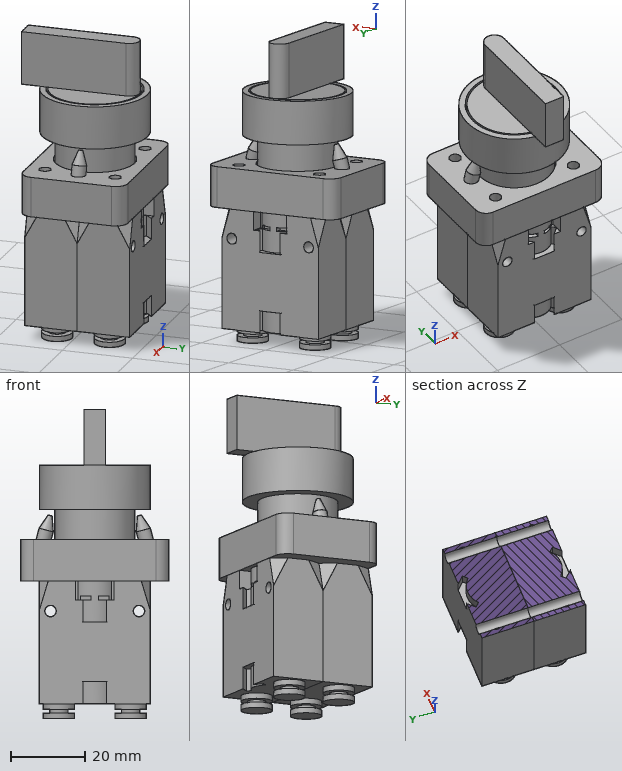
import cadquery as cq


RING_DIAMETER = 30.0
RING_HEIGHT = 12.0
NECK_DIAMETER = 21.7
NECK_EXPOSED_HEIGHT = 8.0
KNOB_BORE_DIAMETER = 26.5
KNOB_DISC_DIAMETER = 25.5
KNOB_DISC_DEPTH = 3.0
HANDLE_WIDTH = 5.85
HANDLE_HEIGHT = 15.0
DEPTH_OVER_HANDLE = 35.0

PLATE_LENGTH = 40.0
PLATE_WIDTH = RING_DIAMETER
PLATE_HEIGHT = 11.3
PLATE_CORNER_RADIUS = 3.5
PLATE_BORE_DIAMETER = 22.5
SCREW_HOLE_DIAMETER = 3.25
SCREW_HOLE_X = 12.5
SCREW_HOLE_Y = 10.0
PIN_DIAMETER = 4.0
PIN_TIP_DIAMETER = 1.2
PIN_SHOULDER_LENGTH = 2.6
PIN_LENGTH = 6.7
PIN_FOOT_X = 13.8
PIN_TILT = 15.0
PIN_ROOT = 0.8

BLOCK_LENGTH = RING_DIAMETER
BLOCK_DEPTH = PLATE_WIDTH / 2
BLOCK_HEIGHT = 33.15
CORNER_CUT_X = 2.4
CORNER_CUT_Y = 4.35
CORNER_CUT_Z = 8.0
CROSS_HOLE_DIAMETER = 3.0
CROSS_HOLE_X = 11.9
CROSS_HOLE_Z = -8.1
PILOT_HOLE_DIAMETER = 2.4

POCKET_WIDTH = 10.3
POCKET_HEIGHT = 5.1
POCKET_DEPTH = 3.6
COLUMN_RADIUS = 6.0
SLOT_WIDTH = 6.3
UPPER_SLOT_BOTTOM = -11.0
LOWER_SLOT_HEIGHT = 6.0
NOTCH_INNER_X = 1.0
NOTCH_OUTER_X = 3.8
NOTCH_HEIGHT = 1.0

FITTING_DIAMETER = 8.5
FITTING_NECK_DIAMETER = 5.0
FITTING_X = 9.7
FITTING_LENGTH = 4.0
FITTING_FLANGE_THICKNESS = 1.5

PLATE_TOP = PLATE_HEIGHT
RING_BOTTOM = PLATE_TOP + NECK_EXPOSED_HEIGHT
RING_TOP = RING_BOTTOM + RING_HEIGHT
DISC_BOTTOM = RING_TOP - KNOB_DISC_DEPTH
BLOCK_BOTTOM = -BLOCK_HEIGHT

OUTER_FACE_Y = -BLOCK_DEPTH
MIDDLE_Y = -BLOCK_DEPTH / 2
POCKET_BACK_Y = OUTER_FACE_Y + POCKET_DEPTH


def cylinder(diameter, bottom, top, x=0.0, y=0.0):
    """Vertical cylinder between two levels."""
    return cq.Workplane("XY", origin=(x, y, bottom)).circle(diameter / 2).extrude(top - bottom)


def box(x_range, y_range, z_range):
    """Axis-parallel box given by its limits along X, Y and Z."""
    (x0, x1), (y0, y1), (z0, z1) = x_range, y_range, z_range
    return cq.Workplane("XY").box(x1 - x0, y1 - y0, z1 - z0, centered=False).translate((x0, y0, z0))


def make_knob():
    disc_radius = KNOB_DISC_DIAMETER / 2
    half_width = HANDLE_WIDTH / 2
    handle_front = RING_DIAMETER / 2 - DEPTH_OVER_HANDLE
    straight_end = disc_radius - half_width
    handle = (
        cq.Workplane("XY", origin=(0, 0, RING_TOP))
        .moveTo(-half_width, handle_front)
        .lineTo(half_width, handle_front)
        .lineTo(half_width, straight_end)
        .threePointArc((0, disc_radius), (-half_width, straight_end))
        .close()
        .extrude(HANDLE_HEIGHT)
    )
    return cylinder(KNOB_DISC_DIAMETER, DISC_BOTTOM, RING_TOP).union(handle)


def make_head():
    ring = cylinder(RING_DIAMETER, RING_BOTTOM, RING_TOP)
    neck = cylinder(NECK_DIAMETER, 0, RING_BOTTOM)
    knob_bore = cylinder(KNOB_BORE_DIAMETER, DISC_BOTTOM, RING_TOP)
    return ring.union(neck).cut(knob_bore)


def make_pin():
    """Pointed pin on the +X side, leaning towards the neck."""
    profile = [
        (0, -PIN_ROOT),
        (PIN_DIAMETER / 2, -PIN_ROOT),
        (PIN_DIAMETER / 2, PIN_SHOULDER_LENGTH),
        (PIN_TIP_DIAMETER / 2, PIN_LENGTH),
        (0, PIN_LENGTH),
    ]
    upright = cq.Workplane("XZ").polyline(profile).close().revolve(360, (0, 0, 0), (0, 1, 0))
    return upright.rotate((0, 0, 0), (0, 1, 0), -PIN_TILT).translate((PIN_FOOT_X, 0, PLATE_TOP))


def make_plate():
    plate = (
        cq.Workplane("XY")
        .rect(PLATE_LENGTH, PLATE_WIDTH)
        .extrude(PLATE_HEIGHT)
        .edges("|Z")
        .fillet(PLATE_CORNER_RADIUS)
    )
    for side_angle in (0, 180):
        plate = plate.union(make_pin().rotate((0, 0, 0), (0, 0, 1), side_angle))
    for x in (-SCREW_HOLE_X, SCREW_HOLE_X):
        for y in (-SCREW_HOLE_Y, SCREW_HOLE_Y):
            plate = plate.cut(cylinder(SCREW_HOLE_DIAMETER, 0, PLATE_TOP, x, y))
    return plate.cut(cylinder(PLATE_BORE_DIAMETER, 0, PLATE_TOP))




def corner_cut(x_side, y_side):
    """Tetrahedron removed from one top corner of the block."""
    x = x_side * BLOCK_LENGTH / 2
    y = MIDDLE_Y + y_side * BLOCK_DEPTH / 2
    corner = cq.Vector(x, y, 0)
    along_x = cq.Vector(x - x_side * CORNER_CUT_X, y, 0)
    along_y = cq.Vector(x, y - y_side * CORNER_CUT_Y, 0)
    below = cq.Vector(x, y, -CORNER_CUT_Z)
    triangles = [
        (corner, along_x, along_y),
        (corner, along_x, below),
        (corner, along_y, below),
        (along_x, along_y, below),
    ]
    faces = [cq.Face.makeFromWires(cq.Wire.makePolygon(triangle, close=True)) for triangle in triangles]
    return cq.Solid.makeSolid(cq.Shell.makeShell(faces))


def slot_recess(bottom, top):
    """Slot that widens at 45 degrees behind the outer face, then narrows again at 45 degrees."""
    half_slot = SLOT_WIDTH / 2
    half_widest = POCKET_WIDTH / 2
    widest_depth = half_widest - half_slot
    half_back = half_widest - (POCKET_DEPTH - widest_depth)
    return (
        cq.Workplane("XY", origin=(0, 0, bottom))
        .polyline([
            (-half_slot, OUTER_FACE_Y),
            (half_slot, OUTER_FACE_Y),
            (half_widest, OUTER_FACE_Y + widest_depth),
            (half_back, POCKET_BACK_Y),
            (-half_back, POCKET_BACK_Y),
            (-half_widest, OUTER_FACE_Y + widest_depth),
        ])
        .close()
        .extrude(top - bottom)
    )


def face_recesses():
    """Recesses in the outer face, with the round column left standing behind them."""
    half_pocket = POCKET_WIDTH / 2
    depth_range = (OUTER_FACE_Y, POCKET_BACK_Y)
    pocket = box((-half_pocket, half_pocket), depth_range, (-POCKET_HEIGHT, 0))
    upper_slot = slot_recess(UPPER_SLOT_BOTTOM, -POCKET_HEIGHT)
    lower_slot = slot_recess(BLOCK_BOTTOM, BLOCK_BOTTOM + LOWER_SLOT_HEIGHT)
    column = cylinder(2 * COLUMN_RADIUS, BLOCK_BOTTOM, 0, 0, MIDDLE_Y)
    recesses = pocket.union(upper_slot).union(lower_slot).cut(column)
    notch_levels = (-POCKET_HEIGHT, -POCKET_HEIGHT + NOTCH_HEIGHT)
    for x_range in ((-NOTCH_OUTER_X, -NOTCH_INNER_X), (NOTCH_INNER_X, NOTCH_OUTER_X)):
        recesses = recesses.union(box(x_range, depth_range, notch_levels))
    return recesses


def make_fitting(x):
    """Two flanges joined by a narrower neck."""
    end = BLOCK_BOTTOM - FITTING_LENGTH
    fitting = cylinder(FITTING_NECK_DIAMETER, end, BLOCK_BOTTOM, x, MIDDLE_Y)
    for flange_bottom in (end, BLOCK_BOTTOM - FITTING_FLANGE_THICKNESS):
        flange_top = flange_bottom + FITTING_FLANGE_THICKNESS
        fitting = fitting.union(cylinder(FITTING_DIAMETER, flange_bottom, flange_top, x, MIDDLE_Y))
    return fitting


def make_valve_block():
    half_length = BLOCK_LENGTH / 2
    block = box((-half_length, half_length), (OUTER_FACE_Y, 0), (BLOCK_BOTTOM, 0))
    block = block.cut(face_recesses())
    for side in (-1, 1):
        for y_side in (-1, 1):
            block = block.cut(cq.Workplane(corner_cut(side, y_side)))
        cross_hole = (
            cq.Workplane("XZ", origin=(side * CROSS_HOLE_X, 0, CROSS_HOLE_Z))
            .circle(CROSS_HOLE_DIAMETER / 2)
            .extrude(BLOCK_DEPTH)
        )
        pilot_hole = cylinder(PILOT_HOLE_DIAMETER, CROSS_HOLE_Z, 0, side * SCREW_HOLE_X, -SCREW_HOLE_Y)
        block = block.cut(cross_hole).cut(pilot_hole).union(make_fitting(side * FITTING_X))
    return block


knob = make_knob()
head = make_head()
plate = make_plate()
valve_blocks = [make_valve_block().rotate((0, 0, 0), (0, 0, 1), angle) for angle in (0, 180)]

result = cq.Compound.makeCompound(
    [knob.val(), head.val(), plate.val(), *[block.val() for block in valve_blocks]]
)